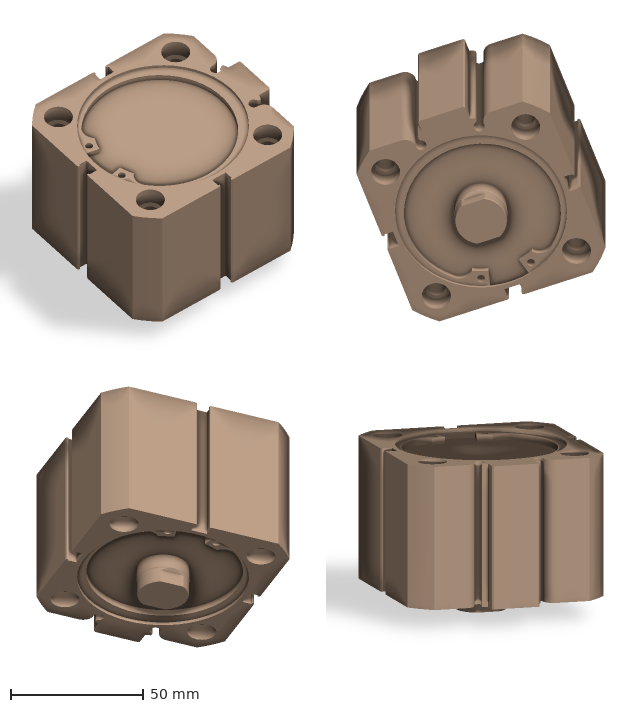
import cadquery as cq
import math


side = 77.5
half_side = side / 2
height = 55.0
corner_radius = 49.5
bore_radius = 32.45

tab_half_width = 9.4
tab_reach = 5.5
tab_edge_chamfer = 0.5

relief_hole_radius = 2.1
relief_hole_x = 11.7
relief_hole_y = 34.4
relief_round_radius = 4.3
relief_round_x = 18.0
lip_corner_x = 11.0
lip_tip_x = 11.5
lip_tip_bottom_y = 36.85
lip_tip_top_y = 37.9

hole_offset = 28.1
hole_diameter = 6.8
counterbore_diameter = 10.95
counterbore_depth = 7.0

slot_width = 6.5
slot_depth = 4.6
slot_floor = half_side - slot_depth
mouth_width = 5.2
lip_thickness = 0.9
mouth_chamfer_depth = 0.3

groove_start = 1.25
groove_width = 2.7
ring_thickness = 2.5
groove_radius = 33.95
ring_inner_radius = 29.6
ring_inner_shift = 1.6
lug_inner_radius = 26.3
lug_relief_radius = 5.2
lug_relief_angle = 41.0
gap_half_angle = 13.8
plier_hole_radius = 1.5
plier_hole_pitch_radius = 29.4
plier_hole_angle = 19.9

cover_recess = groove_start + groove_width
cover_thickness = 10.0

rod_radius = 10.0
rod_end_radius = 9.8
rod_protrusion = 8.0
shoulder_drop = 1.5
taper_height = 0.25
flat_half_width = 8.55
flat_start = 3.0
rod_chamfer_height = 0.5
rod_chamfer_width = 0.2


def polar(radius, angle_from_minus_y):
    """Point at an angle measured from -Y towards +X."""
    angle = math.radians(angle_from_minus_y)
    return radius * math.sin(angle), -radius * math.cos(angle)


def tab_relief():
    """Undercut beside the tab on the +X side, over the full height."""
    lip_corner_y = relief_hole_y + math.sqrt(
        relief_hole_radius**2 - (relief_hole_x - lip_corner_x) ** 2
    )
    round_y = half_side - relief_round_radius
    diagonal = relief_round_radius * math.sqrt(0.5)
    throat = (
        cq.Workplane("XY")
        .moveTo(relief_round_x, half_side)
        .threePointArc(
            (relief_round_x - diagonal, round_y + diagonal),
            (relief_round_x - relief_round_radius, round_y),
        )
        .lineTo(relief_hole_x, relief_hole_y)
        .lineTo(lip_corner_x, lip_corner_y)
        .lineTo(lip_tip_x, lip_tip_bottom_y)
        .lineTo(lip_tip_x, lip_tip_top_y)
        .lineTo(tab_half_width, half_side)
        .close()
        .extrude(height)
    )
    hole = (
        cq.Workplane("XY")
        .center(relief_hole_x, relief_hole_y)
        .circle(relief_hole_radius)
        .extrude(height)
    )
    return throat.union(hole)


def sensor_slot():
    """Lipped slot in the +X face, over the full height."""
    half_slot = slot_width / 2
    half_mouth = mouth_width / 2
    lip_x = half_side - lip_thickness
    mouth_x = half_side - mouth_chamfer_depth
    upper_side = [
        (slot_floor, half_slot),
        (lip_x, half_slot),
        (lip_x, half_mouth),
        (mouth_x, half_mouth),
        (half_side, half_slot),
    ]
    lower_side = [(x, -y) for x, y in reversed(upper_side)]
    return cq.Workplane("XY").polyline(upper_side + lower_side).close().extrude(height)


def mounting_hole():
    """Through hole along Z, counterbored at both ends."""
    hole = cq.Workplane("XY").circle(hole_diameter / 2).extrude(height)
    for start in (0, height - counterbore_depth):
        counterbore = (
            cq.Workplane("XY")
            .workplane(offset=start)
            .circle(counterbore_diameter / 2)
            .extrude(counterbore_depth)
        )
        hole = hole.union(counterbore)
    return hole


def disc(radius, bottom, thickness):
    return cq.Workplane("XY").workplane(offset=bottom).circle(radius).extrude(thickness)


def make_housing():
    block = cq.Workplane("XY").rect(side, side).extrude(height)
    block = block.intersect(disc(corner_radius, 0, height))
    tab = (
        cq.Workplane("XY")
        .center(0, half_side)
        .rect(2 * tab_half_width, 2 * tab_reach)
        .extrude(height)
        .edges("|Z and >Y")
        .chamfer(tab_edge_chamfer)
    )
    body = block.union(tab)

    relief = tab_relief()
    body = body.cut(relief).cut(relief.mirror("YZ"))

    for angle in (0, 180, 270):
        body = body.cut(sensor_slot().rotate((0, 0, 0), (0, 0, 1), angle))

    for x in (-hole_offset, hole_offset):
        for y in (-hole_offset, hole_offset):
            body = body.cut(mounting_hole().translate((x, y, 0)))

    body = body.cut(disc(bore_radius, 0, height))
    for bottom in (groove_start, height - groove_start - groove_width):
        body = body.cut(disc(groove_radius, bottom, groove_width))
    return body


def make_ring():
    """Retaining ring with two plier lugs, lying on Z = 0 with its gap towards -Y."""
    ring = disc(groove_radius, 0, ring_thickness)
    opening = disc(ring_inner_radius, 0, ring_thickness).translate((0, -ring_inner_shift, 0))

    centre_x, centre_y = polar(ring_inner_radius - lug_relief_radius, lug_relief_angle)
    centre_y -= ring_inner_shift
    tangent_x, tangent_y = polar(ring_inner_radius, lug_relief_angle)
    tangent_y -= ring_inner_shift
    reach = groove_radius / ring_inner_radius
    lug_zone = (
        cq.Workplane("XY")
        .polyline(
            [
                (0, 0),
                (tangent_x * reach, tangent_y * reach),
                (0, -2 * groove_radius),
                (-tangent_x * reach, tangent_y * reach),
            ]
        )
        .close()
        .extrude(ring_thickness)
        .cut(disc(lug_inner_radius, 0, ring_thickness))
    )
    ring = ring.cut(opening.cut(lug_zone))

    gap_x, gap_y = polar(2 * groove_radius, gap_half_angle)
    gap = (
        cq.Workplane("XY")
        .polyline([(0, 0), (gap_x, gap_y), (-gap_x, gap_y)])
        .close()
        .extrude(ring_thickness)
    )
    ring = ring.cut(gap)

    hole_x, hole_y = polar(plier_hole_pitch_radius, plier_hole_angle)
    for sign in (-1, 1):
        lug_relief = disc(lug_relief_radius, 0, ring_thickness)
        plier_hole = disc(plier_hole_radius, 0, ring_thickness)
        ring = ring.cut(lug_relief.translate((sign * centre_x, centre_y, 0)))
        ring = ring.cut(plier_hole.translate((sign * hole_x, hole_y, 0)))
    return ring


def make_head_cover():
    return disc(bore_radius, height - cover_recess - cover_thickness, cover_thickness)


def make_rod_cover():
    cover = disc(bore_radius, cover_recess, cover_thickness)
    return cover.cut(disc(rod_radius, cover_recess, cover_thickness))


def make_rod():
    """Rod from the head cover out through the rod cover, with wrench flats at its end."""
    top = height - cover_recess - cover_thickness
    tip = -rod_protrusion
    rod = (
        cq.Workplane("XZ")
        .polyline(
            [
                (0, top),
                (rod_radius, top),
                (rod_radius, -shoulder_drop),
                (rod_end_radius, -shoulder_drop - taper_height),
                (rod_end_radius, tip + rod_chamfer_height),
                (rod_end_radius - rod_chamfer_width, tip),
                (0, tip),
            ]
        )
        .close()
        .revolve(360, (0, 0, 0), (0, 1, 0))
    )

    run_out = rod_radius - flat_half_width
    flat = (
        cq.Workplane("YZ")
        .polyline(
            [
                (flat_half_width, tip),
                (flat_half_width, -flat_start),
                (rod_radius, run_out - flat_start),
                (rod_radius, tip),
            ]
        )
        .close()
        .extrude(rod_radius, both=True)
    )
    return rod.cut(flat).cut(flat.mirror("XZ"))


housing = make_housing()
head_cover = make_head_cover()
rod_cover = make_rod_cover()
rod = make_rod()

ring_bottoms = [cover_recess - ring_thickness, height - cover_recess]
rings = [make_ring().translate((0, 0, bottom)) for bottom in ring_bottoms]

result = cq.Compound.makeCompound(
    [housing.val(), head_cover.val(), rod_cover.val(), rod.val(), *[ring.val() for ring in rings]]
)